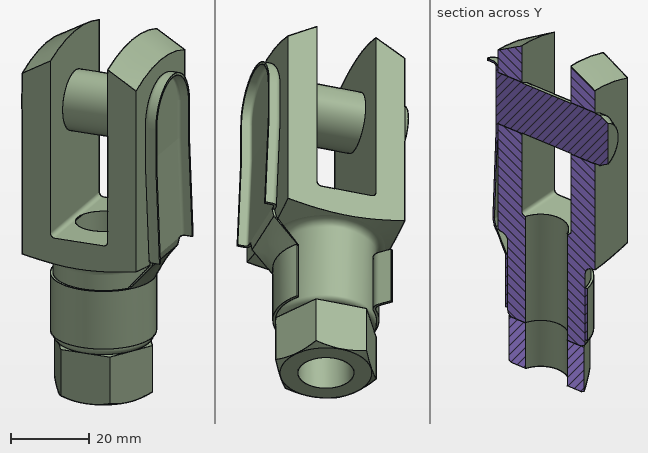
import cadquery as cq
import math


nut_height = 13.9
nut_across_flats = 23.7
nut_across_corners = nut_across_flats / math.cos(math.radians(30))
nut_face_diameter = 23.5
nut_chamfer_angle = 30
thread_bore = 14.4

overall_height = 97.2
fork_width = 31.8
half_width = fork_width / 2
slot_width = 15.9
slot_floor_z = 46.0
slot_corner_radius = 1.2
crown_radius = 50.0
crown_drop = 4.4
shoulder_z = 38.3
shoulder_radius = 15.3
shoulder_angle = 15
neck_diameter = 26.0
neck_radius = neck_diameter / 2
neck_fillet = 2.1
neck_end_fillet = 1.5

pin_diameter = 16.0
pin_z = 78.2
pin_tip_x = -20.1
pin_tip_diameter = 13.2
pin_tip_length = 2.6

sheet = 0.7
clip_back_x = half_width
clip_half_width = 11.0
clip_depth = 3.4
clip_bend = 1.5
leg_top_z = 67.65
leg_end_z = 41.2
leg_end_x = 20.3
leg_lean = leg_end_x - (clip_back_x + clip_depth)
strap_knee_z = 39.2
strap_knee_x = 16.4
ring_bottom_z = 16.1
ring_top_z = 32.0
ring_outer = neck_radius + sheet
strap_half_angle = 38
strap_half_width = ring_outer * math.sin(math.radians(strap_half_angle))
lip_angle = 134
lip_reach = 19.05
lip_bend = 1.9


def polar(radius, angle):
    return (radius * math.cos(math.radians(angle)), radius * math.sin(math.radians(angle)))


def cylinder_x(diameter, x_start, x_end):
    """Cylinder along the pin axis."""
    circle = cq.Workplane("YZ", origin=(x_start, 0, pin_z)).circle(diameter / 2)
    return circle.extrude(x_end - x_start)


def make_nut():
    hexagon = cq.Workplane("XY").polygon(6, nut_across_corners).extrude(nut_height)
    face_radius = nut_face_diameter / 2
    envelope_radius = nut_across_flats
    chamfer_rise = (envelope_radius - face_radius) * math.tan(math.radians(nut_chamfer_angle))
    envelope = (
        cq.Workplane("XZ")
        .polyline([(0, 0), (face_radius, 0), (envelope_radius, chamfer_rise),
                   (envelope_radius, nut_height), (0, nut_height)])
        .close()
        .revolve(360, (0, 0, 0), (0, 1, 0))
    )
    bore = cq.Workplane("XY").circle(thread_bore / 2).extrude(nut_height)
    return hexagon.intersect(envelope).cut(bore)


def crown_envelope():
    """Two cones about a line along X, whose slopes form the crowned tops of the arms."""
    axis_z = overall_height - crown_radius
    slot_x = slot_width / 2
    outer_radius = crown_radius - crown_drop
    return (
        cq.Workplane("XZ")
        .polyline([(-half_width, axis_z), (-half_width, axis_z + outer_radius),
                   (-slot_x, overall_height), (slot_x, overall_height),
                   (half_width, axis_z + outer_radius), (half_width, axis_z)])
        .close()
        .revolve(360, (0, axis_z, 0), (1, axis_z, 0))
    )


def stem_envelope():
    """Round neck, flat shoulder and corner-trimming cone, turned about the stem axis."""
    outer_radius = fork_width
    cone_rise = (outer_radius - shoulder_radius) * math.tan(math.radians(shoulder_angle))
    return (
        cq.Workplane("XZ")
        .moveTo(0, nut_height)
        .lineTo(neck_radius - neck_end_fillet, nut_height)
        .radiusArc((neck_radius, nut_height + neck_end_fillet), -neck_end_fillet)
        .lineTo(neck_radius, shoulder_z - neck_fillet)
        .radiusArc((neck_radius + neck_fillet, shoulder_z), neck_fillet)
        .lineTo(shoulder_radius, shoulder_z)
        .lineTo(outer_radius, shoulder_z + cone_rise)
        .lineTo(outer_radius, overall_height)
        .lineTo(0, overall_height)
        .close()
        .revolve(360, (0, 0, 0), (0, 1, 0))
    )


def make_fork():
    block = cq.Workplane("XY", origin=(0, 0, nut_height)).rect(fork_width, fork_width)
    block = block.extrude(overall_height - nut_height)
    body = block.intersect(stem_envelope())
    body = body.intersect(crown_envelope())
    slot = (
        cq.Workplane("XY", origin=(0, 0, slot_floor_z))
        .rect(slot_width, fork_width)
        .extrude(overall_height - slot_floor_z)
        .edges("|Y and <Z")
        .fillet(slot_corner_radius)
    )
    bore = cq.Workplane("XY", origin=(0, 0, nut_height)).circle(thread_bore / 2)
    bore = bore.extrude(slot_floor_z - nut_height)
    pin_hole = cylinder_x(pin_diameter, -half_width, half_width)
    return body.cut(slot).cut(bore).cut(pin_hole)


def make_pin():
    tip_chamfer = (pin_diameter - pin_tip_diameter) / 2
    pin = cylinder_x(pin_diameter, pin_tip_x, clip_back_x + sheet)
    return pin.faces("<X").chamfer(pin_tip_length, tip_chamfer)


def cap_block(back_x, half_span, bend_radius):
    """Round-topped block with its back edge rounded, down to the top of the leg."""
    block = (
        cq.Workplane("YZ", origin=(back_x, 0, 0))
        .moveTo(-half_span, leg_top_z)
        .lineTo(-half_span, pin_z)
        .threePointArc((0, pin_z + half_span), (half_span, pin_z))
        .lineTo(half_span, leg_top_z)
        .close()
        .extrude(clip_back_x + clip_depth - back_x)
    )
    return block.faces("<X").edges("not <Z").fillet(bend_radius)


def make_cap():
    outside = cap_block(clip_back_x, clip_half_width, clip_bend)
    inside = cap_block(clip_back_x + sheet, clip_half_width - sheet, clip_bend - sheet)
    return outside.cut(inside)


def leg_block(back_x, half_span, bend_radius):
    """Leaning block with rounded back corners, between the two ends of the leg."""
    front_x = clip_back_x + clip_depth
    corner_inset = bend_radius * (1 - math.cos(math.radians(45)))

    def section(shift, workplane):
        return (
            workplane
            .moveTo(front_x + shift, -half_span)
            .lineTo(back_x + bend_radius + shift, -half_span)
            .threePointArc((back_x + corner_inset + shift, corner_inset - half_span),
                           (back_x + shift, bend_radius - half_span))
            .lineTo(back_x + shift, half_span - bend_radius)
            .threePointArc((back_x + corner_inset + shift, half_span - corner_inset),
                           (back_x + bend_radius + shift, half_span))
            .lineTo(front_x + shift, half_span)
            .close()
        )

    lower = section(leg_lean, cq.Workplane("XY", origin=(0, 0, leg_end_z)))
    upper = section(0, lower.workplane(offset=leg_top_z - leg_end_z))
    return upper.loft(ruled=True)


def make_leg():
    outside = leg_block(clip_back_x, clip_half_width, clip_bend)
    inside = leg_block(clip_back_x + sheet, clip_half_width - sheet, clip_bend - sheet)
    return outside.cut(inside)


def make_strap():
    """Strap from the flat leg to the round top edge of the ring."""
    leg_x = clip_back_x + leg_lean

    def flat_section(workplane, back_x):
        return (
            workplane
            .moveTo(back_x, -strap_half_width)
            .lineTo(back_x + sheet, -strap_half_width)
            .lineTo(back_x + sheet, strap_half_width)
            .lineTo(back_x, strap_half_width)
            .close()
        )

    ring_section = (
        cq.Workplane("XY", origin=(0, 0, ring_top_z))
        .moveTo(*polar(neck_radius, -strap_half_angle))
        .lineTo(*polar(ring_outer, -strap_half_angle))
        .threePointArc((ring_outer, 0), polar(ring_outer, strap_half_angle))
        .lineTo(*polar(neck_radius, strap_half_angle))
        .threePointArc((neck_radius, 0), polar(neck_radius, -strap_half_angle))
        .close()
    )
    slope = flat_section(ring_section.workplane(offset=strap_knee_z - ring_top_z), strap_knee_x)
    slope = slope.loft(ruled=True)
    top = flat_section(cq.Workplane("XY", origin=(0, 0, strap_knee_z)), strap_knee_x)
    top = flat_section(top.workplane(offset=leg_end_z - strap_knee_z), leg_x)
    return slope.union(top.loft(ruled=True))


def make_ring():
    """Open ring round the neck, bent outward into a radial lip at its free end."""
    bend_centre_r = ring_outer + lip_bend
    bend_angle = math.degrees(math.asin(lip_bend / bend_centre_r))
    bend_start = lip_angle + bend_angle
    lip_start = math.sqrt(bend_centre_r ** 2 - lip_bend ** 2)
    bend_centre = polar(bend_centre_r, bend_start)

    def lip_point(along, across):
        along_x, along_y = polar(along, lip_angle)
        across_x, across_y = polar(across, lip_angle + 90)
        return (along_x + across_x, along_y + across_y)

    def bend_point(radius):
        half_way = (bend_start + 180 + lip_angle + 270) / 2
        offset_x, offset_y = polar(radius, half_way)
        return (bend_centre[0] + offset_x, bend_centre[1] + offset_y)

    ring_middle = (bend_start + 360 + strap_half_angle) / 2
    return (
        cq.Workplane("XY", origin=(0, 0, ring_bottom_z))
        .moveTo(*polar(ring_outer, strap_half_angle))
        .threePointArc(polar(ring_outer, ring_middle), polar(ring_outer, bend_start))
        .threePointArc(bend_point(lip_bend), lip_point(lip_start, 0))
        .lineTo(*lip_point(lip_reach, 0))
        .lineTo(*lip_point(lip_reach, -sheet))
        .lineTo(*lip_point(lip_start, -sheet))
        .threePointArc(bend_point(lip_bend + sheet), polar(neck_radius, bend_start))
        .threePointArc(polar(neck_radius, ring_middle), polar(neck_radius, strap_half_angle))
        .close()
        .extrude(ring_top_z - ring_bottom_z)
    )


def make_clip_pin():
    """Pin and spring clip, one body."""
    clip = make_cap().union(make_leg())
    clip = clip.union(make_strap()).union(make_ring())
    return clip.union(make_pin())


nut = make_nut()
fork = make_fork()
clip_pin = make_clip_pin()

result = cq.Compound.makeCompound([nut.val(), fork.val(), clip_pin.val()])